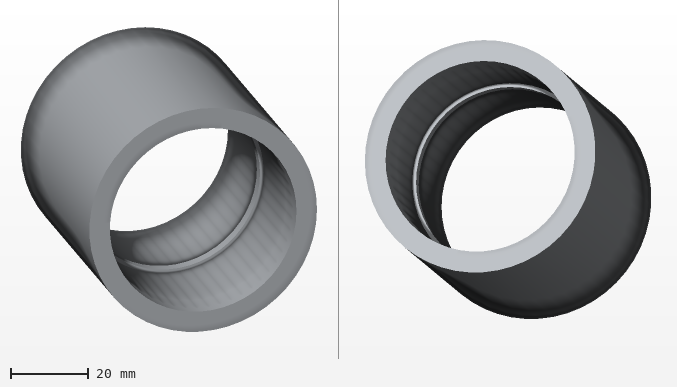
import cadquery as cq

length = 65.0
outer_diameter = 61.0
socket_diameter = 50.0
stop_diameter = 48.0
stop_width = 3.0
socket_depth = (length - stop_width) / 2


def cylinder_along_x(diameter, start, depth):
    """Solid cylinder on the X axis, beginning at x = start."""
    return cq.Workplane("YZ").workplane(offset=start).circle(diameter / 2).extrude(depth)


body = cylinder_along_x(outer_diameter, -length / 2, length)
through_bore = cylinder_along_x(stop_diameter, -length / 2, length)
result = body.cut(through_bore)

for socket_start in (-length / 2, stop_width / 2):
    result = result.cut(cylinder_along_x(socket_diameter, socket_start, socket_depth))